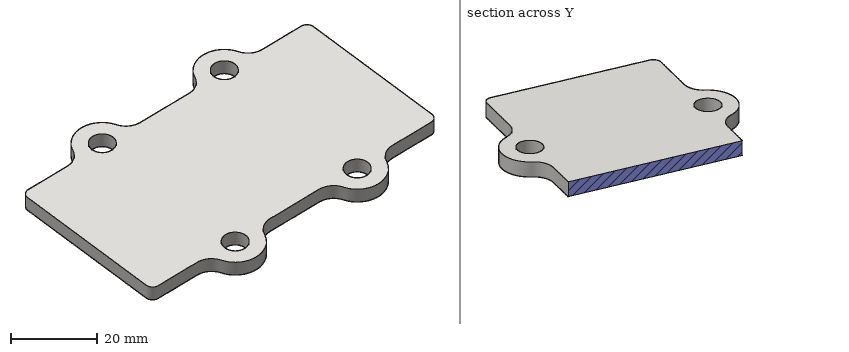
import cadquery as cq
import math

plate_width = 45.0
plate_length = 89.0
thickness = 4.0
corner_radius = 2.0

hole_spacing_x = 46.0
hole_spacing_y = 38.0
hole_diameter = 6.5
ear_radius = 7.25
ear_blend_radius = 5.0

pick_margin = 0.1


def make_plate():
    """Rectangular plate with rounded corners, bottom face on Z = 0."""
    plate = cq.Workplane("XY").rect(plate_width, plate_length).extrude(thickness)
    return plate.edges("|Z").fillet(corner_radius)


def at_holes():
    """Workplane with one point at each mounting hole centre."""
    return cq.Workplane("XY").rect(hole_spacing_x, hole_spacing_y, forConstruction=True).vertices()


def blend_ears(body):
    """Round the inside corners where each ear meets the long plate sides."""
    side_x = plate_width / 2
    ear_offset = hole_spacing_x / 2 - side_x
    half_chord = math.sqrt(ear_radius**2 - ear_offset**2)
    corner_edges = []
    for x in (-side_x, side_x):
        for ear_y in (-hole_spacing_y / 2, hole_spacing_y / 2):
            for y in (ear_y - half_chord, ear_y + half_chord):
                picker = cq.selectors.BoxSelector(
                    (x - pick_margin, y - pick_margin, 0),
                    (x + pick_margin, y + pick_margin, thickness),
                )
                corner_edges += body.edges("|Z").edges(picker).vals()
    return body.newObject(corner_edges).fillet(ear_blend_radius)


ears = at_holes().circle(ear_radius).extrude(thickness)
holes = at_holes().circle(hole_diameter / 2).extrude(thickness)

result = blend_ears(make_plate().union(ears)).cut(holes)